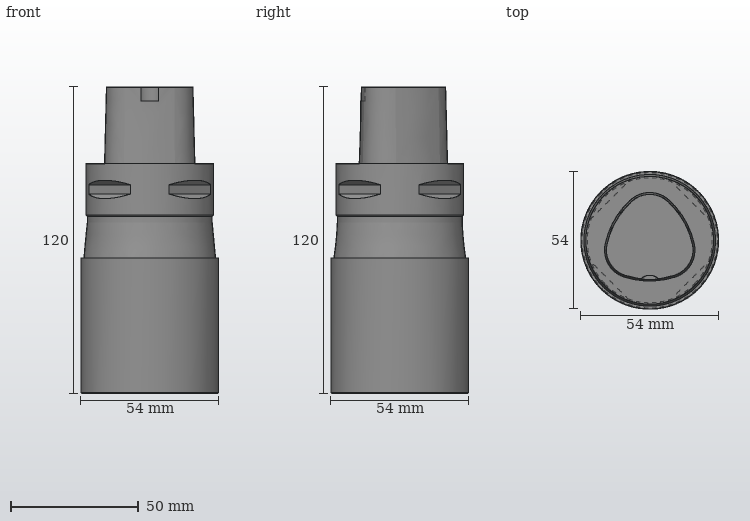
import cadquery as cq
import math

TOTAL_HEIGHT = 120.0
BLANK_DIAMETER = 54.0
BLANK_HEIGHT = 53.2
BLANK_CHAMFER = 0.5

NECK_BASE_DIAMETER = 51.6
GROOVE_DIAMETER = 49.0
GROOVE_BOTTOM_Z = 67.0
FLANGE_DIAMETER = 50.0
FLANGE_BOTTOM_Z = 70.0
FLANGE_CHAMFER_BOTTOM_Z = 69.4
FLANGE_TOP_Z = 90.0

SLOT_COUNT = 4
SLOT_FIRST_ANGLE = 45.0
SLOT_FLOOR_DISTANCE = 22.2
SLOT_FLOOR_HEIGHT = 3.6
SLOT_CENTER_Z = 79.9
SLOT_WALL_RISE = 1.8

LOBE_COUNT = 3
LOBE_REACH = 18.7
SIDE_REACH = 16.0
LOBE_RADIUS = 11.2
SHANK_TAPER = math.degrees(math.atan(1 / 40))

NOTCH_RADIUS = 4.8
NOTCH_INNER_Y = -13.7
NOTCH_DEPTH = 5.5

blank_radius = BLANK_DIAMETER / 2
flange_radius = FLANGE_DIAMETER / 2
shank_height = TOTAL_HEIGHT - FLANGE_TOP_Z


def polar(radius, angle):
    """Point at a distance from the axis, with the angle in degrees from +X."""
    turn = math.radians(angle)
    return (radius * math.cos(turn), radius * math.sin(turn))


def make_blank():
    cylinder = cq.Workplane("XY").circle(blank_radius).extrude(BLANK_HEIGHT)
    return cylinder.faces("<Z").edges().chamfer(BLANK_CHAMFER)


def make_neck_and_flange():
    groove_radius = GROOVE_DIAMETER / 2
    profile = (
        cq.Workplane("XZ")
        .moveTo(0, BLANK_HEIGHT)
        .lineTo(NECK_BASE_DIAMETER / 2, BLANK_HEIGHT)
        .lineTo(groove_radius, GROOVE_BOTTOM_Z)
        .lineTo(groove_radius, FLANGE_CHAMFER_BOTTOM_Z)
        .lineTo(flange_radius, FLANGE_BOTTOM_Z)
        .lineTo(flange_radius, FLANGE_TOP_Z)
        .lineTo(0, FLANGE_TOP_Z)
        .close()
    )
    return profile.revolve(360, (0, 0, 0), (0, 1, 0))


def make_slot_cutter(angle):
    slope = SLOT_WALL_RISE / (flange_radius - SLOT_FLOOR_DISTANCE)
    inner_half = SLOT_FLOOR_HEIGHT / 2
    outer_half = inner_half + slope * (blank_radius - SLOT_FLOOR_DISTANCE)
    cutter = (
        cq.Workplane("XZ")
        .polyline([
            (SLOT_FLOOR_DISTANCE, SLOT_CENTER_Z - inner_half),
            (blank_radius, SLOT_CENTER_Z - outer_half),
            (blank_radius, SLOT_CENTER_Z + outer_half),
            (SLOT_FLOOR_DISTANCE, SLOT_CENTER_Z + inner_half),
        ])
        .close()
        .extrude(flange_radius, both=True)
    )
    return cutter.rotate((0, 0, 0), (0, 0, 1), angle)


def make_shank():
    lobe_center = LOBE_REACH - LOBE_RADIUS
    reach_gap = SIDE_REACH - LOBE_RADIUS
    side_center = (lobe_center**2 - reach_gap**2) / (2 * reach_gap - lobe_center)
    center_gap = side_center + reach_gap
    lobe_pitch = 360 / LOBE_COUNT
    half_pitch = lobe_pitch / 2

    stretch = LOBE_RADIUS / center_gap
    along = lobe_center + stretch * (lobe_center + side_center * math.cos(math.radians(half_pitch)))
    across = stretch * side_center * math.sin(math.radians(half_pitch))
    joint_radius = math.hypot(along, across)
    joint_angle = math.degrees(math.atan2(across, along))

    first_lobe_angle = 90
    outline = cq.Workplane("XY").workplane(offset=FLANGE_TOP_Z)
    outline = outline.moveTo(*polar(joint_radius, first_lobe_angle - joint_angle))
    for index in range(LOBE_COUNT):
        lobe_angle = first_lobe_angle + index * lobe_pitch
        outline = outline.threePointArc(
            polar(LOBE_REACH, lobe_angle),
            polar(joint_radius, lobe_angle + joint_angle),
        )
        outline = outline.threePointArc(
            polar(SIDE_REACH, lobe_angle + half_pitch),
            polar(joint_radius, lobe_angle + lobe_pitch - joint_angle),
        )
    return outline.close().extrude(shank_height, taper=SHANK_TAPER)


def make_notch_cutter():
    return (
        cq.Workplane("XY")
        .workplane(offset=TOTAL_HEIGHT - NOTCH_DEPTH)
        .center(0, NOTCH_INNER_Y - NOTCH_RADIUS)
        .circle(NOTCH_RADIUS)
        .extrude(NOTCH_DEPTH)
    )


def make_adapter():
    body = make_neck_and_flange()
    for index in range(SLOT_COUNT):
        angle = SLOT_FIRST_ANGLE + index * 360 / SLOT_COUNT
        body = body.cut(make_slot_cutter(angle))
    return body.union(make_shank().cut(make_notch_cutter()))


blank = make_blank()
adapter = make_adapter()

result = cq.Compound.makeCompound([blank.solids().val(), adapter.solids().val()])